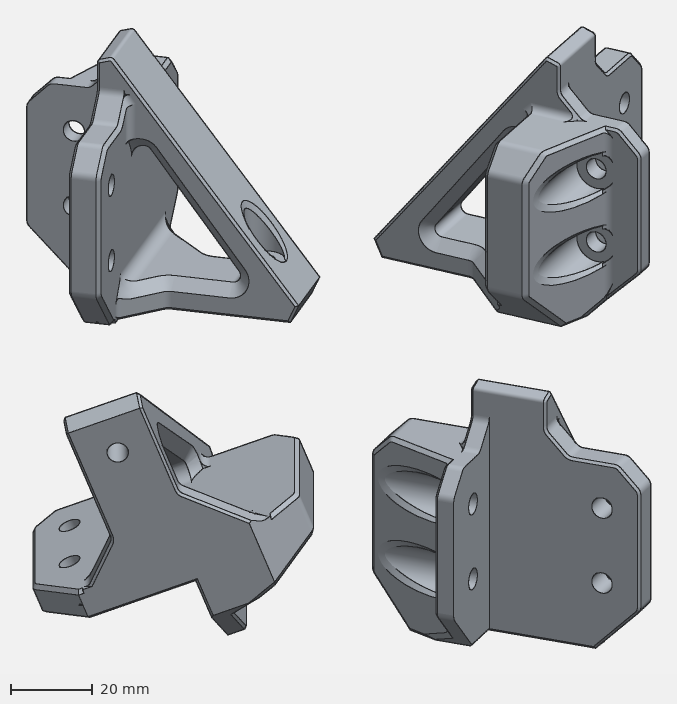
import cadquery as cq
import math


CROSS_THICKNESS = 8.0
SIDE_THICKNESS = 5.0
SIDE_REACH = 22.15
ARM_REACH = 25.0
PLATE_HEIGHT = 50.0
TOP_CORNER = 6.0
BOTTOM_CORNER = 12.0
SHOULDER = 6.0
CORNER_RADIUS = 2.5

FINE_CHAMFER = 0.65
CHAMFER = 1.0
COVE_RADIUS = 2.0
FOOT_RADIUS = 2.2

GUSSET_WIDTH = 20.0
GUSSET_BACK = SIDE_THICKNESS
GUSSET_FRONT = GUSSET_BACK - GUSSET_WIDTH
GUSSET_MIDDLE = (GUSSET_FRONT + GUSSET_BACK) / 2
GUSSET_PROFILE = [(0, 0), (49.05, 0), (51.2, 4.7), (3.75, 65.25), (0, 64.1)]
PEAK_RADIUS = 1.0

WEDGE_BACK = GUSSET_BACK + ARM_REACH
WEDGE_FRONT = 1.5
WEDGE_FOOT = -13.1
WEDGE_ANGLE = 21.0

FLOOR_THICKNESS = 8.0
FRONT_EAR = 10.0
BACK_EAR = 16.0
FLOOR_END = 29.3
FLOOR_COVE_RADIUS = 3.2
WINDOW_TOP = 41.65
WINDOW_TOP_RIGHT = 12.3
WINDOW_BOTTOM_RIGHT = 37.7
WINDOW_RADIUS = 2.0
WINDOW_CHAMFER = 3.0

SCREW_DIAMETER = 5.4
SCREW_HEIGHTS = (18.05, 38.05)
SIDE_SCREW_X = -10.1
ARM_SCREW_Y = GUSSET_FRONT - 14.95
POCKET_DIAMETER = 10.6
TIP_HOLE_X = 39.75
TIP_HOLE_DIAMETER = 5.2
TIP_BORE_DIAMETER = 10.0
TIP_BORE_FLOOR = 12.0

BEYOND = 88.0
NEAR = 0.1


def box_select(x_range, y_range, z_range):
    """Select the edges whose centres lie in the given ranges, widened slightly."""
    low, high = zip(x_range, y_range, z_range)
    return cq.selectors.BoxSelector(
        tuple(value - NEAR for value in low), tuple(value + NEAR for value in high)
    )


def half_space(plane, origin, depth):
    """Block larger than the part, on one side of a plane."""
    return cq.Workplane(plane, origin=origin).rect(2 * BEYOND, 2 * BEYOND).extrude(depth)


def rounded_outline(plane, corners):
    """Draw a closed outline from (u, v, radius) corners; a radius of 0 leaves the corner sharp."""
    path = plane
    count = len(corners)
    for i, (u, v, radius) in enumerate(corners):
        corner = cq.Vector(u, v)
        back = (cq.Vector(*corners[i - 1][:2]) - corner).normalized()
        ahead = (cq.Vector(*corners[(i + 1) % count][:2]) - corner).normalized()
        half_angle = back.getAngle(ahead) / 2
        start = corner + back * (radius / math.tan(half_angle))
        path = path.moveTo(start.x, start.y) if i == 0 else path.lineTo(start.x, start.y)
        if radius > 0:
            middle = corner + (back + ahead).normalized() * (radius / math.sin(half_angle) - radius)
            end = corner + ahead * (radius / math.tan(half_angle))
            path = path.threePointArc((middle.x, middle.y), (end.x, end.y))
    return path.close()


def plate(origin, outwards, normal, reach, thickness, shoulder_radius):
    """Plate reaching outwards from the gusset, rising to it over a 45 degree shoulder."""
    shoulder_top = PLATE_HEIGHT + SHOULDER
    root = -SIDE_THICKNESS / 2
    corners = [
        (root, 0, 0),
        (reach - BOTTOM_CORNER, 0, 0),
        (reach, BOTTOM_CORNER, CORNER_RADIUS),
        (reach, PLATE_HEIGHT - TOP_CORNER, CORNER_RADIUS),
        (reach - TOP_CORNER, PLATE_HEIGHT, CORNER_RADIUS),
        (SHOULDER, PLATE_HEIGHT, shoulder_radius),
        (0, shoulder_top, shoulder_radius),
        (0, shoulder_top + CORNER_RADIUS, 0),
        (root, shoulder_top + CORNER_RADIUS, 0),
    ]
    plane = cq.Workplane(cq.Plane(origin=origin, xDir=outwards, normal=normal))
    return rounded_outline(plane, corners).extrude(thickness)


def build_arm(shoulder_radius):
    """Front arm of the cross plate."""
    origin = (CROSS_THICKNESS, GUSSET_FRONT, 0)
    arm = plate(origin, (0, -1, 0), (-1, 0, 0), ARM_REACH, CROSS_THICKNESS, shoulder_radius)
    return arm.faces(">X").chamfer(CHAMFER).faces("<X").chamfer(FINE_CHAMFER)


def build_side_plate(shoulder_radius):
    side = plate((0, 0, 0), (-1, 0, 0), (0, 1, 0), SIDE_REACH, SIDE_THICKNESS, shoulder_radius)
    side = side.faces(">Y").chamfer(FINE_CHAMFER)
    return side.faces("<Y").edges("<Z").chamfer(FINE_CHAMFER)


def build_gusset():
    corners = [(x, z, PEAK_RADIUS if z > PLATE_HEIGHT else 0) for x, z in GUSSET_PROFILE]
    gusset = rounded_outline(cq.Workplane("XZ", origin=(0, GUSSET_BACK, 0)), corners).extrude(GUSSET_WIDTH)
    gusset = gusset.faces("<Y or >Y").chamfer(FINE_CHAMFER)
    return gusset.edges("|Y and <X and <Z").chamfer(FINE_CHAMFER)


def side_corner_waste():
    """Prism below the slanted bottom corner of the side plate, running back through the wedge."""
    corners = [(-SIDE_REACH, 0), (BOTTOM_CORNER - SIDE_REACH, 0), (-SIDE_REACH, BOTTOM_CORNER)]
    return cq.Workplane("XZ").polyline(corners).close().extrude(-BEYOND)


def back_corner_waste():
    """Prism below the slanted bottom corner at the back end of the cross plate."""
    corners = [(WEDGE_BACK, 0), (WEDGE_BACK - BOTTOM_CORNER, 0), (WEDGE_BACK, BOTTOM_CORNER)]
    return cq.Workplane("YZ").polyline(corners).close().extrude(BEYOND, both=True)


def pocket_bores(start):
    """Screwdriver bores that run back from y = start."""
    plane = cq.Workplane("XZ", origin=(0, start, 0))
    places = [(SIDE_SCREW_X, z) for z in SCREW_HEIGHTS]
    return plane.pushPoints(places).circle(POCKET_DIAMETER / 2).extrude(-BEYOND)


def slope_x(y):
    return WEDGE_FOOT + (y - SIDE_THICKNESS) * math.tan(math.radians(WEDGE_ANGLE))


def build_wedge_blank():
    """Thick back arm of the cross plate, its left face sloping towards the side plate."""
    plan = [
        (slope_x(WEDGE_FRONT), WEDGE_FRONT),
        (CROSS_THICKNESS, WEDGE_FRONT),
        (CROSS_THICKNESS, WEDGE_BACK),
        (slope_x(WEDGE_BACK), WEDGE_BACK),
    ]
    end_view = [
        (WEDGE_FRONT, 0, 0),
        (WEDGE_BACK - BOTTOM_CORNER, 0, 0),
        (WEDGE_BACK, BOTTOM_CORNER, CORNER_RADIUS),
        (WEDGE_BACK, PLATE_HEIGHT - TOP_CORNER, CORNER_RADIUS),
        (WEDGE_BACK - TOP_CORNER, PLATE_HEIGHT, CORNER_RADIUS),
        (WEDGE_FRONT, PLATE_HEIGHT, 0),
    ]
    blank = cq.Workplane("XY").polyline(plan).close().extrude(PLATE_HEIGHT)
    envelope = rounded_outline(cq.Workplane("YZ"), end_view).extrude(BEYOND, both=True)
    return blank.intersect(envelope).cut(side_corner_waste())


def sloping_face(wedge):
    lean = math.radians(WEDGE_ANGLE)
    outwards = cq.Vector(-math.cos(lean), math.sin(lean), 0)
    return wedge.faces(cq.selectors.DirectionMinMaxSelector(outwards, True))


def build_pocket_cutter(blank):
    """Bores whose mouths in the sloping face are chamfered, closed at the back of the side plate."""
    bored = blank.cut(pocket_bores(WEDGE_FRONT))
    rims = sloping_face(bored).edges("not %LINE").chamfer(CHAMFER)
    behind_plate = half_space("XZ", (0, SIDE_THICKNESS, 0), -BEYOND)
    return blank.cut(rims).union(pocket_bores(SIDE_THICKNESS)).intersect(behind_plate)


def build_window():
    """Opening through the gusset, chamfered at both mouths and flat against the cross plate."""
    corners = [
        (CROSS_THICKNESS, FLOOR_THICKNESS, WINDOW_RADIUS),
        (WINDOW_BOTTOM_RIGHT, FLOOR_THICKNESS, WINDOW_RADIUS),
        (WINDOW_TOP_RIGHT, WINDOW_TOP, WINDOW_RADIUS),
        (CROSS_THICKNESS, WINDOW_TOP, FLOOR_COVE_RADIUS),
    ]
    middle = cq.Workplane("XZ", origin=(0, GUSSET_MIDDLE, 0))
    window = rounded_outline(middle, corners).extrude(GUSSET_WIDTH / 2, both=True)
    mouth_start = cq.Workplane("XZ", origin=(0, GUSSET_FRONT + WINDOW_CHAMFER, 0))
    mouth = rounded_outline(mouth_start, corners).extrude(WINDOW_CHAMFER, taper=-45)
    clearance = rounded_outline(cq.Workplane("XZ", origin=(0, GUSSET_FRONT, 0)), corners)
    clearance = clearance.offset2D(WINDOW_CHAMFER).extrude(COVE_RADIUS)
    mouth = mouth.union(clearance)
    window = window.union(mouth).union(mouth.mirror("XZ", (0, GUSSET_MIDDLE, 0)))
    return window.intersect(half_space("YZ", (CROSS_THICKNESS, 0, 0), BEYOND))


def build_floor():
    """Floor of the window with its triangular ears, coved into the right face of the cross plate."""
    front_tip = GUSSET_FRONT - FRONT_EAR
    back_tip = GUSSET_BACK + BACK_EAR
    corners = [
        (0, front_tip - CROSS_THICKNESS, 0),
        (CROSS_THICKNESS + FRONT_EAR, GUSSET_FRONT, CORNER_RADIUS),
        (FLOOR_END, GUSSET_FRONT, 0),
        (FLOOR_END, GUSSET_BACK, 0),
        (CROSS_THICKNESS + BACK_EAR, GUSSET_BACK, CORNER_RADIUS),
        (0, back_tip + CROSS_THICKNESS, 0),
    ]
    floor = rounded_outline(cq.Workplane("XY"), corners).extrude(FLOOR_THICKNESS)
    free_x = (CROSS_THICKNESS / 2, FLOOR_END - 0.7)
    free_y = (front_tip - CROSS_THICKNESS, back_tip + CROSS_THICKNESS)
    floor = floor.edges(box_select(free_x, free_y, (0, 0))).chamfer(FINE_CHAMFER)

    slice_front = front_tip - FLOOR_COVE_RADIUS / 2
    slice_back = back_tip + FLOOR_COVE_RADIUS / 2
    plate_slice = cq.Workplane("XY", origin=(CROSS_THICKNESS / 2, slice_front, 0)).box(
        CROSS_THICKNESS / 2, slice_back - slice_front, 2 * FLOOR_THICKNESS, centered=False
    )
    right_of_slice = half_space("YZ", (CROSS_THICKNESS / 2, 0, 0), BEYOND)
    floor = floor.intersect(right_of_slice).union(plate_slice)

    joint_x = (CROSS_THICKNESS, CROSS_THICKNESS)
    joint_y = (front_tip, back_tip)
    level_joint = box_select(joint_x, joint_y, (FLOOR_THICKNESS, FLOOR_THICKNESS))
    floor = floor.edges(level_joint).fillet(FLOOR_COVE_RADIUS)
    cove_rise = (FLOOR_THICKNESS, FLOOR_THICKNESS + FLOOR_COVE_RADIUS / 2)
    for rim_y in ((front_tip, GUSSET_FRONT), (GUSSET_BACK, back_tip)):
        rims = floor.edges(box_select((CROSS_THICKNESS, FLOOR_END - 0.7), rim_y, cove_rise))
        floor = rims.edges("not |Y").chamfer(WINDOW_CHAMFER)
    upright_joints = box_select(joint_x, joint_y, (FINE_CHAMFER, FLOOR_THICKNESS / 2))
    floor = floor.edges(upright_joints).edges("|Z").fillet(CORNER_RADIUS)
    return floor.cut(back_corner_waste())


def screw_holes():
    side = cq.Workplane("XZ").pushPoints([(SIDE_SCREW_X, z) for z in SCREW_HEIGHTS])
    side = side.circle(SCREW_DIAMETER / 2).extrude(-SIDE_THICKNESS)
    arm = cq.Workplane("YZ").pushPoints([(ARM_SCREW_Y, z) for z in SCREW_HEIGHTS])
    return side.union(arm.circle(SCREW_DIAMETER / 2).extrude(CROSS_THICKNESS))


def build_tip_cutter(gusset):
    """Vertical hole near the tip, counterbored from the slanted face with a chamfered mouth."""
    bore_axis = cq.Workplane("XY", origin=(TIP_HOLE_X, GUSSET_MIDDLE, 0))
    bored = gusset.cut(bore_axis.circle(TIP_BORE_DIAMETER / 2).extrude(BEYOND))
    mouth = bored.edges("%ELLIPSE").chamfer(CHAMFER)
    above_floor = half_space("XY", (0, 0, TIP_BORE_FLOOR), BEYOND)
    counterbore = gusset.cut(mouth).intersect(above_floor)
    return counterbore.union(bore_axis.circle(TIP_HOLE_DIAMETER / 2).extrude(TIP_BORE_FLOOR))


gusset = build_gusset()
body = gusset.union(build_arm(0))
flank_x = (CROSS_THICKNESS - CHAMFER / 2, CROSS_THICKNESS)
front_joint = box_select(flank_x, (GUSSET_FRONT, GUSSET_FRONT), (CHAMFER, PLATE_HEIGHT + SHOULDER))
body = body.edges(front_joint).fillet(COVE_RADIUS).union(build_arm(CORNER_RADIUS))

wedge_blank = build_wedge_blank()
wedge = sloping_face(wedge_blank).chamfer(CHAMFER).faces(">X").chamfer(CHAMFER)
body = body.union(wedge).union(build_side_plate(0))
back_joint = box_select((-SHOULDER, CROSS_THICKNESS), (GUSSET_BACK, GUSSET_BACK), (CHAMFER, PLATE_HEIGHT))
body = body.edges(back_joint).fillet(COVE_RADIUS).union(build_side_plate(CORNER_RADIUS))
foot_height = (CHAMFER, PLATE_HEIGHT - CHAMFER)
foot_joint = box_select((WEDGE_FOOT, WEDGE_FOOT), (SIDE_THICKNESS, SIDE_THICKNESS), foot_height)
body = body.edges(foot_joint).edges("|Z").fillet(FOOT_RADIUS)

body = body.cut(build_window()).union(build_floor())
body = body.cut(build_pocket_cutter(wedge_blank)).cut(screw_holes())
result = body.cut(build_tip_cutter(gusset))